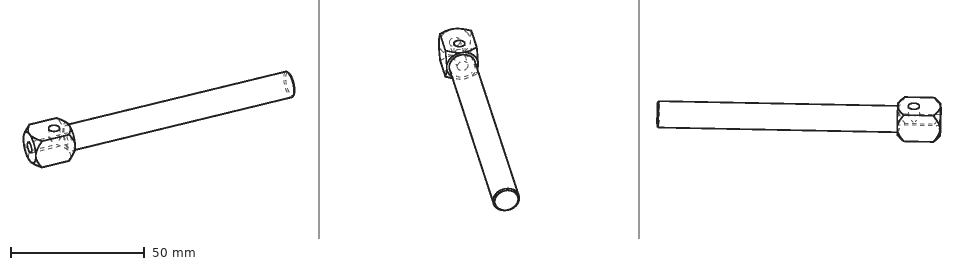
import cadquery as cq

overall_length = 106.0

head_width = 12.0
head_length = 16.0
head_face_diameter = head_width
hole_diameter = 4.1
cross_hole_from_front = 10.0

rod_diameter = 10.0
rod_chamfer = 0.5
rod_length = overall_length - head_length


def turned_envelope():
    """Round body with 45 degree conical ends that bevels the corners of the head."""
    face_radius = head_face_diameter / 2
    middle_radius = face_radius + head_length / 2
    return (
        cq.Workplane("XY")
        .polyline([(0, 0), (face_radius, 0), (middle_radius, head_length / 2),
                   (face_radius, head_length), (0, head_length)])
        .close()
        .revolve(360, (0, 0, 0), (0, 1, 0))
    )


def axial_hole():
    """Hole along the head axis, closed at the back by the end of the rod."""
    return cq.Workplane("XZ").circle(hole_diameter / 2).extrude(-head_length)


def cross_hole():
    """Hole from the top of the head down into the axial hole."""
    return (
        cq.Workplane("XY")
        .center(0, cross_hole_from_front)
        .circle(hole_diameter / 2)
        .extrude(head_width / 2)
    )


def make_head():
    """Square block with bevelled corners and two holes that meet."""
    block = cq.Workplane("XZ").rect(head_width, head_width).extrude(-head_length)
    return block.intersect(turned_envelope()).cut(axial_hole()).cut(cross_hole())


def make_rod():
    """Rod seated on the back face of the head, chamfered at its free end."""
    return (
        cq.Workplane("XZ", origin=(0, head_length, 0))
        .circle(rod_diameter / 2)
        .extrude(-rod_length)
        .faces(">Y")
        .chamfer(rod_chamfer)
    )


head = make_head().solids()
rod = make_rod().solids()

result = cq.Compound.makeCompound([head.val(), rod.val()])